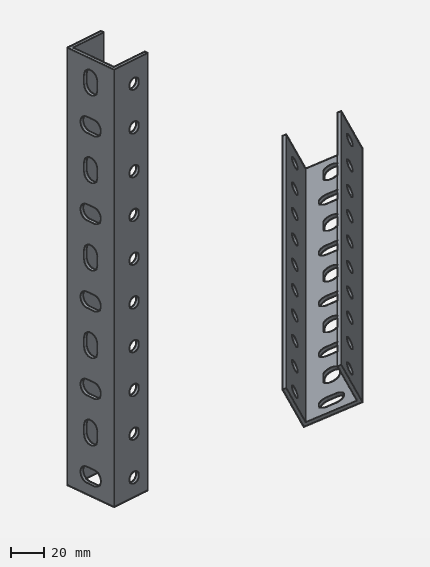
import cadquery as cq

length = 300.0
width = 39.3
depth = 29.0
thickness = 2.52

hole_count = 10
pitch = 30.0
first_hole_height = 13.5
slot_length = 17.0
slot_width = 11.0
flange_hole_diameter = 8.0
flange_hole_setback = 11.7

hole_heights = [first_hole_height + i * pitch for i in range(hole_count)]


def make_channel():
    """U-shaped profile with the outer web face on the plane Y = 0."""
    outer = cq.Workplane("XY").rect(width, depth).extrude(length)
    inner = (
        cq.Workplane("XY")
        .center(0, thickness)
        .rect(width - 2 * thickness, depth)
        .extrude(length)
    )
    return outer.cut(inner).translate((0, depth / 2, 0))


def web_slots(heights, angle):
    """Slots through the web, turned by angle from the X direction."""
    return (
        cq.Workplane("XZ")
        .pushPoints([(0, z) for z in heights])
        .slot2D(slot_length, slot_width, angle)
        .extrude(-thickness)
    )


def flange_holes():
    """Round holes passing through both flanges."""
    return (
        cq.Workplane("YZ")
        .pushPoints([(depth - flange_hole_setback, z) for z in hole_heights])
        .circle(flange_hole_diameter / 2)
        .extrude(width / 2, both=True)
    )


crosswise_slots = web_slots(hole_heights[0::2], 0)
lengthwise_slots = web_slots(hole_heights[1::2], 90)

result = make_channel().cut(crosswise_slots).cut(lengthwise_slots).cut(flange_holes())